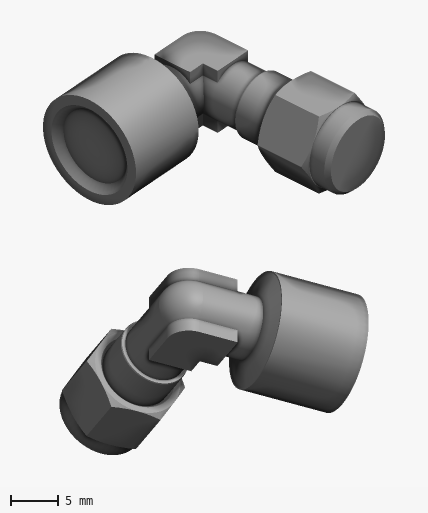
import cadquery as cq
import math

pipe_radius = 3.5

socket_radius = 6.5
socket_end = 18.0
socket_shoulder = 7.85
socket_cone_start = 7.07
socket_cone_radius = 6.33
recess_mouth_radius = 5.3
recess_floor_radius = 4.4
recess_depth = recess_mouth_radius - recess_floor_radius

collar_start = 8.2
collar_radius = 3.95
collar_chamfer_length = 0.15
collar_chamfer_depth = 0.05
nut_start = 12.5
nut_end = 19.47
nut_across_flats = 10.0
nut_across_corners = nut_across_flats / math.cos(math.radians(30))
nut_chamfer_radius = nut_across_flats / 2
nut_chamfer_length = 0.43
nut_mouth_radius = 4.3
nut_mouth_depth = nut_mouth_radius - collar_radius
tip_radius = 4.9
tip_end = 22.0
tip_chamfer_length = 0.5
tip_chamfer_depth = 0.5

lug_half_width = 2.48
lug_reach = 4.55
lug_half_height = 4.02


def socket_arm():
    """Plain neck, conical shoulder and socket with a tapered recess."""
    profile = [
        (0, 0),
        (pipe_radius, 0),
        (pipe_radius, -socket_cone_start),
        (socket_cone_radius, -socket_shoulder),
        (socket_radius, -socket_shoulder),
        (socket_radius, -socket_end),
        (recess_mouth_radius, -socket_end),
        (recess_floor_radius, -socket_end + recess_depth),
        (0, -socket_end + recess_depth),
    ]
    return cq.Workplane("XY").polyline(profile).close().revolve(360, (0, 0), (0, 1))


def nut_arm():
    """Pipe, collar and chamfered tip, turned about the X axis."""
    profile = [
        (0, 0),
        (0, pipe_radius),
        (collar_start, pipe_radius),
        (collar_start, collar_radius - collar_chamfer_depth),
        (collar_start + collar_chamfer_length, collar_radius),
        (nut_end, collar_radius),
        (nut_end, tip_radius),
        (tip_end - tip_chamfer_length, tip_radius),
        (tip_end, tip_radius - tip_chamfer_depth),
        (tip_end, 0),
    ]
    return cq.Workplane("XY").polyline(profile).close().revolve(360, (0, 0), (1, 0))


def hex_nut():
    """Hexagon with corners on +Y and -Y, corners chamfered at both ends and a countersunk mouth."""
    corner_radius = nut_across_corners / 2
    hexagon = (
        cq.Workplane("YZ", origin=(nut_start, 0, 0))
        .polygon(6, nut_across_corners)
        .extrude(nut_end - nut_start)
    )
    envelope_profile = [
        (nut_start + nut_mouth_depth, 0),
        (nut_start + nut_mouth_depth, collar_radius),
        (nut_start, nut_mouth_radius),
        (nut_start, nut_chamfer_radius),
        (nut_start + nut_chamfer_length, corner_radius),
        (nut_end - nut_chamfer_length, corner_radius),
        (nut_end, nut_chamfer_radius),
        (nut_end, 0),
    ]
    envelope = cq.Workplane("XY").polyline(envelope_profile).close().revolve(360, (0, 0), (1, 0))
    return hexagon.intersect(envelope)


def wrench_lugs():
    """L-shaped block through the elbow, rounded on its outer corner."""
    arc_offset = lug_half_width * math.sqrt(0.5)
    return (
        cq.Workplane("XY", origin=(0, 0, -lug_half_height))
        .moveTo(0, lug_half_width)
        .lineTo(lug_reach, lug_half_width)
        .lineTo(lug_reach, -lug_half_width)
        .lineTo(lug_half_width, -lug_half_width)
        .lineTo(lug_half_width, -lug_reach)
        .lineTo(-lug_half_width, -lug_reach)
        .lineTo(-lug_half_width, 0)
        .threePointArc((-arc_offset, arc_offset), (0, lug_half_width))
        .close()
        .extrude(2 * lug_half_height)
    )


elbow_ball = cq.Workplane("XY").sphere(pipe_radius)
result = elbow_ball.union(socket_arm()).union(nut_arm()).union(hex_nut()).union(wrench_lugs())